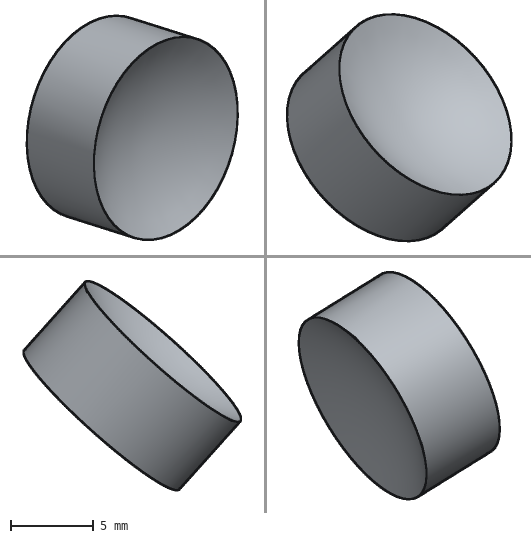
import cadquery as cq
import math

lens_diameter = 12.7
centre_thickness = 2.0
surface_radius = 11.96

lens_radius = lens_diameter / 2
hollow_depth = surface_radius - math.sqrt(surface_radius**2 - lens_radius**2)
vertex_x = centre_thickness / 2
rim_x = vertex_x + hollow_depth


def hollow_mid_point():
    """Point (X, Z) halfway along the +X hollow's arc from the optical axis to the rim."""
    mid_angle = math.asin(lens_radius / surface_radius) / 2
    x = vertex_x + surface_radius * (1 - math.cos(mid_angle))
    z = surface_radius * math.sin(mid_angle)
    return (x, z)


def lens_body():
    """Half section of the lens turned about the optical axis."""
    mid_x, mid_z = hollow_mid_point()
    half_section = (
        cq.Workplane("XZ")
        .moveTo(-vertex_x, 0)
        .threePointArc((-mid_x, mid_z), (-rim_x, lens_radius))
        .lineTo(rim_x, lens_radius)
        .threePointArc((mid_x, mid_z), (vertex_x, 0))
        .close()
    )
    return half_section.revolve(360, (0, 0), (1, 0))


result = lens_body()